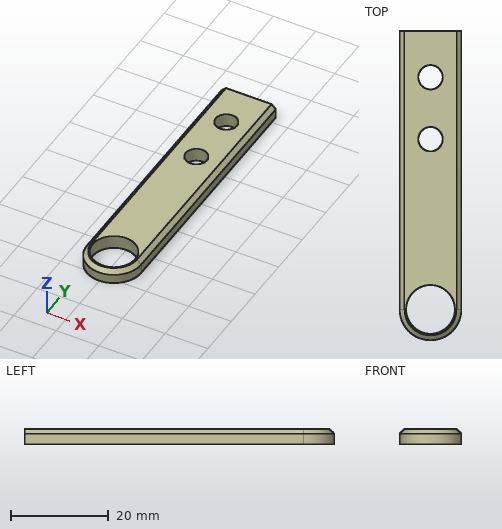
import cadquery as cq

length = 63.5
width = 12.7
thickness = 3.2
chamfer_height = 0.95
chamfer_width = 1.0
ring_hole_diameter = 10.0
mount_hole_diameter = 4.95
mount_hole_spacing = 12.7
mount_hole_end_distance = 9.5

end_radius = width / 2
square_end_y = length - end_radius
first_mount_y = square_end_y - mount_hole_end_distance
mount_hole_points = [(0, first_mount_y), (0, first_mount_y - mount_hole_spacing)]

bar = (
    cq.Workplane("XY")
    .moveTo(-end_radius, square_end_y)
    .lineTo(-end_radius, 0)
    .threePointArc((0, -end_radius), (end_radius, 0))
    .lineTo(end_radius, square_end_y)
    .close()
    .extrude(thickness)
)

bar = bar.faces(">Z").edges("not >Y").chamfer(chamfer_height, chamfer_width)

bar = bar.faces(">Z").workplane(origin=(0, 0, thickness)).hole(ring_hole_diameter)

result = (
    bar.faces(">Z")
    .workplane(origin=(0, 0, thickness))
    .pushPoints(mount_hole_points)
    .hole(mount_hole_diameter)
)